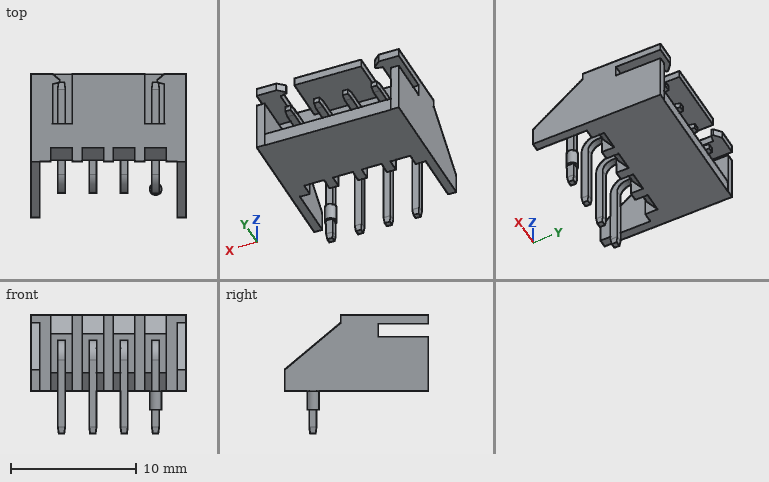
import cadquery as cq

width = 12.4
body_height = 6.1
body_depth = 7.0
wing_reach = 11.5
wing_thickness = 0.72
wing_drop = 0.62
wing_top = body_height - wing_drop
wing_front_height = 1.72

cavity_depth = 4.0
top_wall = 0.72
side_wall = 0.7
floor_thickness = 1.17
floor_setback = 0.02
side_slot_height = 1.02

notch_outer_x = 4.46
notch_width = 1.55
barb_reach = 0.58
barb_flat_start = 0.51
barb_flat_end = 0.68
barb_root = 0.82

pin_count = 4
pin_pitch = 2.5
pin_size = 0.61
pin_top = 4.05
pin_bend_radius = 1.53
pin_front_y = -9.54
pin_back_y = -0.66
pin_bottom_z = -3.4
tip_length = 0.56
tip_size = 0.46

recess_width = 1.72
recess_depth = 0.1
recess_bevel_depth = 1.12
recess_top_bevel = 1.53
recess_bottom_bevel = 1.46

sleeve_diameter = 0.95
sleeve_length = 1.49
sleeve_offset_x = 0.01
sleeve_y = -9.21

pin_xs = [(i - (pin_count - 1) / 2) * pin_pitch for i in range(pin_count)]


def block(x_min, x_max, y_min, y_max, z_min, z_max):
    """Box between the given limits."""
    size = (x_max - x_min, y_max - y_min, z_max - z_min)
    return cq.Workplane("XY").box(*size, centered=False).translate((x_min, y_min, z_min))


def side_profile(points, thickness, x_centre):
    """Extrude a (Y, Z) outline along X, centred on x_centre."""
    outline = cq.Workplane("YZ").polyline(points).close()
    return outline.extrude(thickness / 2, both=True).translate((x_centre, 0, 0))


def make_wing(side):
    points = [
        (-body_depth, 0),
        (-wing_reach, 0),
        (-wing_reach, wing_front_height),
        (-body_depth, wing_top),
    ]
    return side_profile(points, wing_thickness, side * (width - wing_thickness) / 2)


def make_notch(side):
    """Notch through the top wall; its outline leaves the barb standing."""
    inner_x = notch_outer_x - notch_width
    points = [
        (notch_outer_x, 0),
        (notch_outer_x - barb_reach, -barb_flat_start),
        (notch_outer_x - barb_reach, -barb_flat_end),
        (notch_outer_x, -barb_root),
        (notch_outer_x, -cavity_depth),
        (inner_x, -cavity_depth),
        (inner_x, 0),
    ]
    points = [(side * x, y) for x, y in points]
    notch = cq.Workplane("XY").polyline(points).close().extrude(top_wall)
    return notch.translate((0, 0, body_height - top_wall))


def make_recess(x_centre):
    face = -body_depth
    points = [
        (face, 0),
        (face + recess_bevel_depth, 0),
        (face + recess_depth, recess_bottom_bevel),
        (face + recess_depth, body_height - recess_top_bevel),
        (face + recess_bevel_depth, body_height),
        (face, body_height),
    ]
    return side_profile(points, recess_width, x_centre)


def make_tip(plane):
    """Tapered pin end growing along the normal of the plane."""
    tip = cq.Workplane(plane).rect(pin_size, pin_size).workplane(offset=tip_length)
    return tip.rect(tip_size, tip_size).loft(combine=True)


def make_pin(x_centre):
    axis_y = pin_front_y + pin_size / 2
    axis_z = pin_top - pin_size / 2
    axis_radius = pin_bend_radius - pin_size / 2
    leg_start = pin_bottom_z + tip_length
    blade_end = pin_back_y - tip_length
    bend_y = axis_y + axis_radius
    bend_z = axis_z - axis_radius
    path = (
        cq.Workplane("YZ")
        .moveTo(axis_y, leg_start)
        .lineTo(axis_y, bend_z)
        .radiusArc((bend_y, axis_z), axis_radius)
        .lineTo(blade_end, axis_z)
    )
    section = cq.Workplane("XY", origin=(0, axis_y, leg_start)).rect(pin_size, pin_size)
    leg_end = cq.Plane(origin=(0, axis_y, leg_start), xDir=(1, 0, 0), normal=(0, 0, -1))
    mating_end = cq.Plane(origin=(0, blade_end, axis_z), xDir=(1, 0, 0), normal=(0, 1, 0))
    pin = section.sweep(path).union(make_tip(leg_end)).union(make_tip(mating_end))
    return pin.translate((x_centre, 0, 0))


def make_housing():
    half = width / 2
    inner = half - side_wall
    slot_top = body_height - top_wall
    housing = block(-half, half, -body_depth, 0, 0, body_height)
    housing = housing.cut(block(-inner, inner, -cavity_depth, 0, floor_thickness, slot_top))
    housing = housing.cut(block(-inner, inner, -floor_setback, 0, 0, floor_thickness))
    housing = housing.cut(block(-half, half, -cavity_depth, 0, slot_top - side_slot_height, slot_top))
    for side in (-1, 1):
        housing = housing.cut(make_notch(side))
    for x in pin_xs:
        housing = housing.cut(make_recess(x))
    return housing


def make_sleeve():
    sleeve = cq.Workplane("XY").circle(sleeve_diameter / 2).extrude(-sleeve_length)
    return sleeve.translate((pin_xs[-1] + sleeve_offset_x, sleeve_y, 0))


result = make_housing()
for side in (-1, 1):
    result = result.union(make_wing(side))
for x in pin_xs:
    result = result.union(make_pin(x))
result = result.union(make_sleeve())